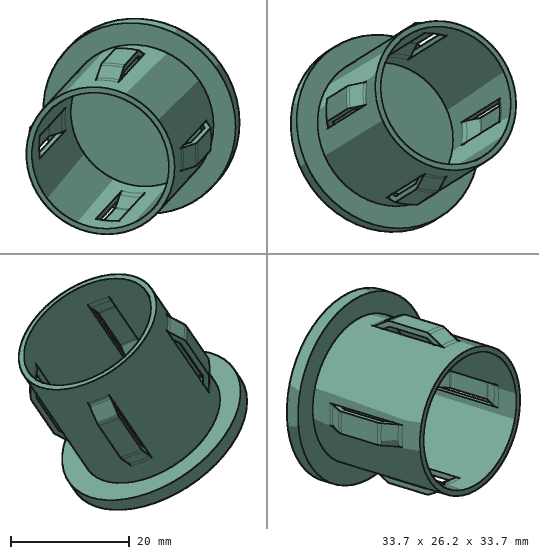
import cadquery as cq
import math


flange_diameter = 33.7
flange_thickness = 2.5
tube_outer_diameter = 26.0
wall = 1.0
total_length = 26.2
tube_length = total_length - flange_thickness
tube_outer_radius = tube_outer_diameter / 2
tube_inner_radius = tube_outer_radius - wall

strap_width = 4.0
strap_length = 16.0
strap_flat_length = 8.0
strap_rise = 1.75
strap_end_gap = 4.0
bend_radius = 1.5

strap_start = -tube_length + strap_end_gap
strap_middle = strap_start + strap_length / 2
flat_start = strap_middle - strap_flat_length / 2

ramp_run = flat_start - strap_start
bend_sum = 2 * bend_radius
centre_drop = bend_sum - strap_rise
ramp_angle = (
    math.asin(bend_sum / math.hypot(ramp_run, centre_drop))
    - math.atan2(centre_drop, ramp_run)
)


def make_flange():
    return (
        cq.Workplane("XZ")
        .circle(flange_diameter / 2)
        .extrude(-flange_thickness)
    )


def make_tube():
    return (
        cq.Workplane("XZ")
        .circle(tube_outer_radius)
        .circle(tube_inner_radius)
        .extrude(tube_length)
    )


def make_strap_bars():
    """Two crossed bars that give the width and length of all four straps."""
    bar_span = flange_diameter
    bar_x = cq.Workplane("XY").box(bar_span, strap_length, strap_width)
    bar_z = cq.Workplane("XY").box(strap_width, strap_length, bar_span)
    return bar_x.union(bar_z).translate((0, strap_middle, 0))


def lower_bend_point(radius, angle):
    """Point on the bend where the strap leaves the tube wall, as (radial, Y)."""
    centre_radial = tube_outer_radius + bend_radius
    return (
        centre_radial - radius * math.cos(angle),
        strap_start + radius * math.sin(angle),
    )


def upper_bend_point(radius, angle):
    """Point on the bend between the ramp and the raised flat, as (radial, Y)."""
    centre_radial = tube_outer_radius + strap_rise - bend_radius
    return (
        centre_radial + radius * math.cos(angle),
        flat_start - radius * math.sin(angle),
    )


def make_strap_ring():
    """Strap section revolved about the tube axis, one wall thick throughout."""
    half_angle = ramp_angle / 2
    lower_outer = bend_radius
    lower_inner = bend_radius + wall
    upper_outer = bend_radius
    upper_inner = bend_radius - wall
    raised_radius = tube_outer_radius + strap_rise
    half_ring = (
        cq.Workplane("XY")
        .moveTo(tube_outer_radius, strap_start)
        .threePointArc(
            lower_bend_point(lower_outer, half_angle),
            lower_bend_point(lower_outer, ramp_angle),
        )
        .lineTo(*upper_bend_point(upper_outer, ramp_angle))
        .threePointArc(
            upper_bend_point(upper_outer, half_angle),
            upper_bend_point(upper_outer, 0),
        )
        .lineTo(raised_radius, strap_middle)
        .lineTo(raised_radius - wall, strap_middle)
        .lineTo(*upper_bend_point(upper_inner, 0))
        .threePointArc(
            upper_bend_point(upper_inner, half_angle),
            upper_bend_point(upper_inner, ramp_angle),
        )
        .lineTo(*lower_bend_point(lower_inner, ramp_angle))
        .threePointArc(
            lower_bend_point(lower_inner, half_angle),
            lower_bend_point(lower_inner, 0),
        )
        .close()
        .revolve(360, (0, 0, 0), (0, 1, 0))
    )
    other_half = half_ring.mirror("XZ", (0, strap_middle, 0))
    return half_ring.union(other_half, clean=True)


strap_bars = make_strap_bars()
straps = make_strap_ring().intersect(strap_bars)
slotted_tube = make_tube().cut(strap_bars)
result = make_flange().union(slotted_tube).union(straps)